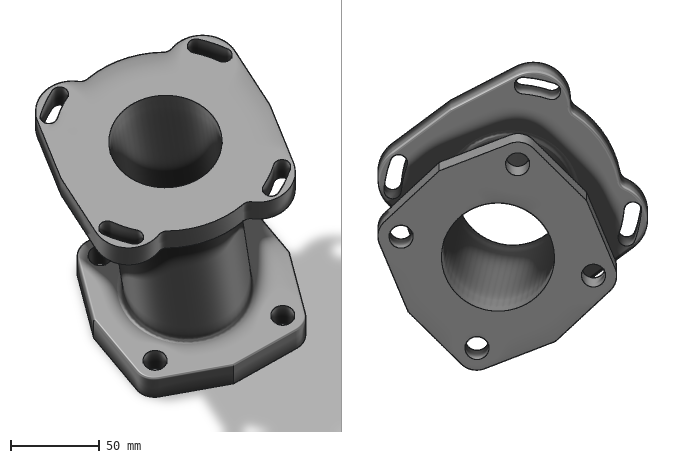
import cadquery as cq
import math

total_height = 168.7
flange_thickness = 17.9
tilt_angle = 5.2
flange_offset = 16.0
flange_edge_fillet = 1.7

tube_radius = 36.5
bore_radius = 31.9
tube_root_fillet = 3.0

disc_radius = 61.7
upper_apex = 64.3
ear_radius = 20.9
ear_place = 40.0
ear_blend_radius = 5.9
slot_path_radius = 68.1
slot_half_angle = 7.0
slot_width = 9.8

lower_apex = 60.2
lower_edge_angle = 11.1
lower_corner_radius = 12.1
bolt_hole_diameter = 13.5
bolt_hole_place = 39.3

tube_lean = total_height * math.tan(math.radians(tilt_angle))
lower_center_y = flange_offset / 2
upper_center_y = -flange_offset / 2
axis_bottom_y = upper_center_y + tube_lean
upper_base_z = total_height - flange_thickness
corner_signs = [(1, 1), (-1, 1), (-1, -1), (1, -1)]


def polar(radius, angle):
    """Point at the given radius and angle in degrees."""
    return (radius * math.cos(math.radians(angle)), radius * math.sin(math.radians(angle)))


def lower_flange():
    """Eight-sided plate with four rounded corners and a bolt hole in each."""
    corner = lower_apex / (1 + math.tan(math.radians(lower_edge_angle)))
    outline = [
        (lower_apex, 0), (corner, corner), (0, lower_apex), (-corner, corner),
        (-lower_apex, 0), (-corner, -corner), (0, -lower_apex), (corner, -corner),
    ]
    plate = cq.Workplane("XY").polyline(outline).close().extrude(flange_thickness)
    for sx, sy in corner_signs:
        corner_point = (sx * corner, sy * corner, flange_thickness / 2)
        plate = plate.edges(cq.selectors.NearestToPointSelector(corner_point)).fillet(lower_corner_radius)
    plate = plate.faces(">Z").edges().fillet(flange_edge_fillet)
    holes = [(sx * bolt_hole_place, sy * bolt_hole_place) for sx, sy in corner_signs]
    plate = plate.cut(
        cq.Workplane("XY").pushPoints(holes).circle(bolt_hole_diameter / 2).extrude(flange_thickness)
    )
    return plate.translate((0, lower_center_y, 0))


def slot_cutter(middle_angle):
    """Round-ended slot that follows a circle about the flange centre."""
    start = middle_angle - slot_half_angle
    end = middle_angle + slot_half_angle
    inner = slot_path_radius - slot_width / 2
    outer = slot_path_radius + slot_width / 2
    band = (
        cq.Workplane("XY")
        .moveTo(*polar(inner, start))
        .lineTo(*polar(outer, start))
        .threePointArc(polar(outer, middle_angle), polar(outer, end))
        .lineTo(*polar(inner, end))
        .threePointArc(polar(inner, middle_angle), polar(inner, start))
        .close()
        .extrude(flange_thickness)
    )
    ends = (
        cq.Workplane("XY")
        .pushPoints([polar(slot_path_radius, start), polar(slot_path_radius, end)])
        .circle(slot_width / 2)
        .extrude(flange_thickness)
    )
    return band.union(ends)


def upper_flange():
    """Disc with four ears; straight edges run tangent from the ears to blunt corners."""
    drop = upper_apex - ear_place
    distance = math.hypot(ear_place, drop)
    edge_slope = math.atan2(drop, ear_place) - math.asin(ear_radius / distance)
    touch_x = ear_place + ear_radius * math.sin(edge_slope)
    touch_y = ear_place + ear_radius * math.cos(edge_slope)
    outline = [
        (0, upper_apex), (touch_x, touch_y), (ear_place, ear_place),
        (ear_place, -ear_place), (touch_x, -touch_y), (0, -upper_apex),
        (-touch_x, -touch_y), (-ear_place, -ear_place),
        (-ear_place, ear_place), (-touch_x, touch_y),
    ]
    ears = [(sx * ear_place, sy * ear_place) for sx, sy in corner_signs]
    plate = cq.Workplane("XY").polyline(outline).close().extrude(flange_thickness)
    plate = plate.union(cq.Workplane("XY").circle(disc_radius).extrude(flange_thickness))
    plate = plate.union(cq.Workplane("XY").pushPoints(ears).circle(ear_radius).extrude(flange_thickness))

    ear_distance = math.hypot(ear_place, ear_place)
    notch_swing = math.degrees(math.acos(
        (disc_radius**2 + ear_distance**2 - ear_radius**2) / (2 * disc_radius * ear_distance)
    ))
    notch_x, notch_y = polar(disc_radius, 45 - notch_swing)
    for sx, sy in corner_signs:
        notch_point = (sx * notch_x, sy * notch_y, flange_thickness / 2)
        plate = plate.edges(cq.selectors.NearestToPointSelector(notch_point)).fillet(ear_blend_radius)

    plate = plate.faces("<Z").edges().fillet(flange_edge_fillet)
    for middle_angle in (45, 135, 225, 315):
        plate = plate.cut(slot_cutter(middle_angle))
    return plate.translate((0, upper_center_y, upper_base_z))


def leaning_cylinder(radius, overrun):
    """Cylinder along the tube axis, extended by overrun past both ends."""
    axis = cq.Vector(0, -tube_lean, total_height).normalized()
    start = cq.Vector(0, axis_bottom_y, 0) - axis * overrun
    length = math.hypot(tube_lean, total_height) + 2 * overrun
    return cq.Workplane(cq.Solid.makeCylinder(radius, length, start, axis))


end_overrun = 16.9
height_limit = cq.Workplane("XY").box(
    2 * total_height, 2 * total_height, total_height, centered=(True, True, False)
)
tube = leaning_cylinder(tube_radius, end_overrun).intersect(height_limit)
body = lower_flange().union(tube).union(upper_flange())

select_margin = 1.7
for flange_face_z in (flange_thickness, upper_base_z):
    axis_y = axis_bottom_y - tube_lean * flange_face_z / total_height
    reach = tube_radius + select_margin
    tube_rim = cq.selectors.BoxSelector(
        (-reach, axis_y - reach, flange_face_z - select_margin),
        (reach, axis_y + reach, flange_face_z + select_margin),
        boundingbox=True,
    )
    body = body.edges(tube_rim).fillet(tube_root_fillet)

result = body.cut(leaning_cylinder(bore_radius, end_overrun))